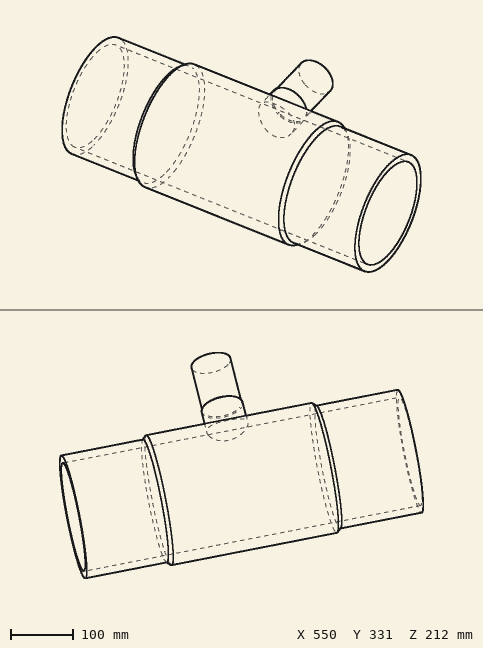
import cadquery as cq

pipe_length = 550.0
pipe_diameter = 200.0
bore_diameter = 176.0

sleeve_length = 283.0
sleeve_diameter = 212.0
sleeve_taper_length = 6.5

collar_diameter = 67.5
collar_reach = 144.5
spigot_diameter = 64.5
collar_chamfer = (collar_diameter - spigot_diameter) / 2
overall_width = 331.0
spigot_reach = overall_width - sleeve_diameter / 2


def cylinder_along_x(diameter, length):
    """Cylinder on the X axis, centred on the origin."""
    return cq.Workplane("YZ").circle(diameter / 2).extrude(length / 2, both=True)


def cylinder_along_y(diameter, reach):
    """Cylinder from the pipe axis out to the given +Y position."""
    return cq.Workplane("XZ").circle(diameter / 2).extrude(-reach)


def tapered_sleeve():
    """Sleeve on the X axis whose ends taper down to the pipe surface."""
    end_x = sleeve_length / 2
    taper_x = end_x - sleeve_taper_length
    profile = [
        (-end_x, 0),
        (-end_x, pipe_diameter / 2),
        (-taper_x, sleeve_diameter / 2),
        (taper_x, sleeve_diameter / 2),
        (end_x, pipe_diameter / 2),
        (end_x, 0),
    ]
    return cq.Workplane("XY").polyline(profile).close().revolve(360, (0, 0, 0), (1, 0, 0))


def stepped_branch():
    """Solid branch: a collar chamfered down to a longer, thinner spigot."""
    collar = cylinder_along_y(collar_diameter, collar_reach)
    collar = collar.faces(">Y").edges().chamfer(collar_chamfer)
    return collar.union(cylinder_along_y(spigot_diameter, spigot_reach))


pipe = cylinder_along_x(pipe_diameter, pipe_length)

bore = cylinder_along_x(bore_diameter, pipe_length)

result = pipe.union(tapered_sleeve()).union(stepped_branch()).cut(bore)